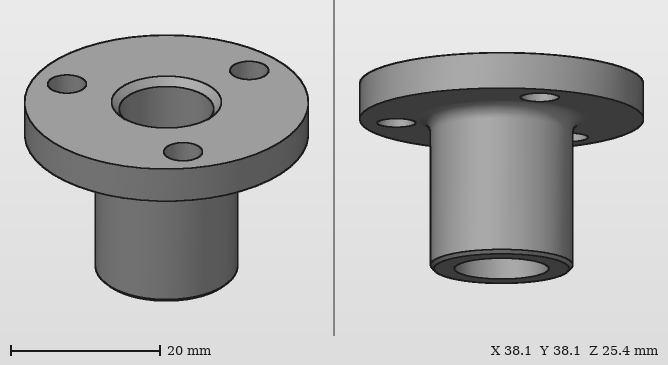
import cadquery as cq

flange_diameter = 38.1
total_height = 25.4
flange_thickness = 4.88

sleeve_diameter = 19.13
fillet_radius = 1.9
end_chamfer = 0.5

bore_diameter = 12.7
lead_in_diameter = 14.75
lead_in = (lead_in_diameter - bore_diameter) / 2

hole_count = 3
hole_diameter = 5.2
hole_circle_radius = 14.3
first_hole_angle = 90

flange_bottom = total_height - flange_thickness


def make_body():
    """Revolve the half section of the flange, fillet, sleeve and bore."""
    flange_radius = flange_diameter / 2
    sleeve_radius = sleeve_diameter / 2
    bore_radius = bore_diameter / 2
    return (
        cq.Workplane("XZ")
        .moveTo(bore_radius, 0)
        .lineTo(sleeve_radius - end_chamfer, 0)
        .lineTo(sleeve_radius, end_chamfer)
        .lineTo(sleeve_radius, flange_bottom - fillet_radius)
        .radiusArc((sleeve_radius + fillet_radius, flange_bottom), fillet_radius)
        .lineTo(flange_radius, flange_bottom)
        .lineTo(flange_radius, total_height)
        .lineTo(bore_radius + lead_in, total_height)
        .lineTo(bore_radius, total_height - lead_in)
        .close()
        .revolve(360, (0, 0, 0), (0, 1, 0))
    )


def make_mounting_holes():
    """Cylinders spaced evenly on the hole circle, through the flange."""
    return (
        cq.Workplane("XY", origin=(0, 0, flange_bottom))
        .polarArray(hole_circle_radius, first_hole_angle, 360, hole_count)
        .circle(hole_diameter / 2)
        .extrude(flange_thickness)
    )


result = make_body().cut(make_mounting_holes())